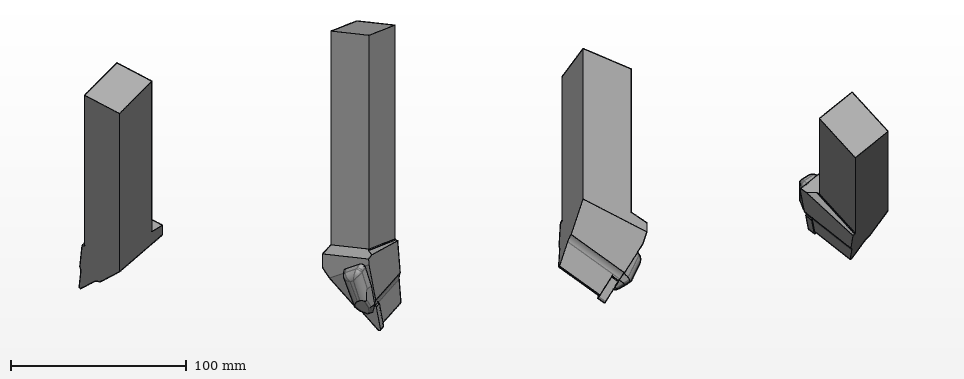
import cadquery as cq
import math


LENGTH = 171.4
SHANK_X = 24.7
SHANK_Y = 31.5

HEAD_Y = 41.8
HEAD_OVERHANG = 13.7
SHOULDER_Z = 46.8
SHOULDER_SLOPE = 18.0
SHOULDER_LIP = 0.5

TIP = (-7.9, 31.5, -1.7)
SEAT_LEAN = 22.0
SEAT_TILT = 14.5

TIP_ANGLE = 35.0
INSERT_WIDTH = 9.6
INSERT_THICKNESS = 4.8
NOSE_RADIUS = 0.9

FLANK_INSET = 0.6
BLUNT_TIP_X = 4.1
LEFT_STEP = (16.8, 19.9)
LEFT_STEP_OUT = 0.43
RIGHT_STEP = (18.0, 21.5)
RIGHT_STEP_OUT = 1.2
HEAD_REACH = 77.1
HEAD_DEPTH = 68.5

CLAMP_BACK_X = 43.2
CLAMP_BACK_LEFT = -11.0
CLAMP_BACK_RIGHT = 3.8
CLAMP_FRONT_X = 10.3
CLAMP_FRONT_LEFT = -5.1
CLAMP_FRONT_RIGHT = 7.7
CLAMP_HEIGHT = 7.5
CLAMP_DRAFT = 15.0
CLAMP_CORNER_RADIUS = 2.5
CLAMP_TOP_RADIUS = 5.1
CHEEK_BACK = (27.6, 8.0)
CHEEK_FRONT = (17.5, 4.8)
NOSE_END = (13.7, 1.4)
NOSE_TOP = 2.2
NOSE_SLOPE_START_X = 24.7
NOSE_RIM_RADIUS = 1.4

lean = math.radians(SEAT_LEAN)
tilt = math.radians(SEAT_TILT)
half_tip = math.radians(TIP_ANGLE / 2)
draft_shift = CLAMP_HEIGHT * math.tan(math.radians(CLAMP_DRAFT))

seat = cq.Plane(
    origin=TIP,
    xDir=(math.cos(tilt) * math.sin(lean), math.sin(tilt), math.cos(tilt) * math.cos(lean)),
    normal=(-math.sin(tilt) * math.sin(lean), math.cos(tilt), -math.sin(tilt) * math.cos(lean)),
)


def make_insert():
    half_length = INSERT_WIDTH / (2 * math.sin(half_tip))
    half_width = half_length * math.tan(half_tip)
    rhombus = [(0, 0), (half_length, half_width), (2 * half_length, 0), (half_length, -half_width)]
    blank = cq.Workplane(seat).polyline(rhombus).close().extrude(-INSERT_THICKNESS)
    upright_edges = blank.edges(cq.selectors.ParallelDirSelector(seat.zDir))
    tip_edge = upright_edges.edges(cq.selectors.DirectionMinMaxSelector(seat.xDir, False))
    return tip_edge.fillet(NOSE_RADIUS)


def flank_point(x, out, side):
    """Point at x on a line parallel to the insert's edge and `out` outside it; side is 1 for right."""
    return (x, side * (x * math.tan(half_tip) + out / math.cos(half_tip)))


def make_head_half(side, step, step_out):
    """The head on one side of the insert's diagonal, swept square to the seat."""
    outline = (
        cq.Workplane(seat)
        .moveTo(BLUNT_TIP_X, 0)
        .lineTo(*flank_point(BLUNT_TIP_X, -FLANK_INSET, side))
        .lineTo(*flank_point(step[0], -FLANK_INSET, side))
        .tangentArcPoint(flank_point(step[1], step_out, side), relative=False)
        .lineTo(*flank_point(HEAD_REACH, step_out, side))
        .lineTo(HEAD_REACH, 0)
        .close()
    )
    return outline.extrude(-HEAD_DEPTH)


def make_head_envelope():
    """The block that bounds the head, topped by the two mitred shoulders."""
    rise = math.tan(math.radians(SHOULDER_SLOPE))
    lip_z = SHOULDER_Z - SHOULDER_LIP
    across_y = [
        (0, 0),
        (HEAD_Y, 0),
        (HEAD_Y, SHOULDER_Z - rise * (HEAD_Y - SHANK_Y)),
        (SHANK_Y, SHOULDER_Z),
        (0, SHOULDER_Z),
    ]
    across_x = [
        (-HEAD_OVERHANG, 0),
        (SHANK_X, 0),
        (SHANK_X, SHOULDER_Z),
        (0, SHOULDER_Z),
        (-SHOULDER_LIP, lip_z),
        (-HEAD_OVERHANG, lip_z - rise * (HEAD_OVERHANG - SHOULDER_LIP)),
    ]
    y_profile = cq.Workplane("YZ", origin=(-HEAD_OVERHANG, 0, 0)).polyline(across_y).close()
    x_profile = cq.Workplane("XZ").polyline(across_x).close()
    return y_profile.extrude(HEAD_OVERHANG + SHANK_X).intersect(x_profile.extrude(-HEAD_Y))


def make_clamp_dome():
    """Drafted pad with rounded back corners and a rounded top rim."""
    base = [
        (CLAMP_FRONT_X, CLAMP_FRONT_LEFT),
        (CLAMP_FRONT_X, CLAMP_FRONT_RIGHT),
        (CLAMP_BACK_X, CLAMP_BACK_RIGHT),
        (CLAMP_BACK_X, CLAMP_BACK_LEFT),
    ]
    pad = cq.Workplane(seat).polyline(base).close().extrude(CLAMP_HEIGHT, taper=CLAMP_DRAFT)
    top = pad.faces(cq.selectors.DirectionMinMaxSelector(seat.zDir, True))
    front_edge = cq.selectors.DirectionMinMaxSelector(seat.xDir, False)
    pad = top.edges(cq.selectors.InverseSelector(front_edge)).fillet(CLAMP_TOP_RADIUS)
    back = pad.faces(cq.selectors.DirectionMinMaxSelector(seat.xDir, True))
    corners = [
        back.edges(cq.selectors.DirectionMinMaxSelector(seat.yDir, is_right)).val()
        for is_right in (True, False)
    ]
    return pad.newObject(corners).fillet(CLAMP_CORNER_RADIUS)


def make_cheek_prism():
    """Drafted outline that narrows the clamp to its nose; its cheeks run on past the clamp's back."""
    cheek_slope = (CHEEK_BACK[1] - CHEEK_FRONT[1]) / (CHEEK_BACK[0] - CHEEK_FRONT[0])
    far_x = CLAMP_BACK_X + 2 * draft_shift
    far_y = CHEEK_BACK[1] + cheek_slope * (far_x - CHEEK_BACK[0])
    left = [NOSE_END, CHEEK_FRONT, (far_x, far_y)]
    right = [(x, -y) for x, y in reversed(left)]
    return cq.Workplane(seat).polyline(left + right).close().extrude(CLAMP_HEIGHT, taper=CLAMP_DRAFT)


def make_nose_profile():
    """Side profile of the clamp, sloping down to its nose."""
    side = cq.Plane(origin=seat.origin, xDir=seat.xDir, normal=-seat.yDir)
    profile = [
        (NOSE_END[0], 0),
        (CLAMP_BACK_X, 0),
        (CLAMP_BACK_X, CLAMP_HEIGHT),
        (NOSE_SLOPE_START_X, CLAMP_HEIGHT),
        (NOSE_END[0], NOSE_TOP),
    ]
    clamp_width = CLAMP_BACK_RIGHT - CLAMP_BACK_LEFT
    return cq.Workplane(side).polyline(profile).close().extrude(clamp_width, both=True)


def make_nose_envelope():
    """Cheeks and sloping nose, with the slope's rim rounded where it meets the cheeks."""
    envelope = make_cheek_prism().intersect(make_nose_profile())
    run = NOSE_SLOPE_START_X - NOSE_END[0]
    drop = CLAMP_HEIGHT - NOSE_TOP
    slope_normal = seat.zDir * run - seat.xDir * drop
    slope = envelope.faces(cq.selectors.DirectionMinMaxSelector(slope_normal, True))
    across = cq.selectors.ParallelDirSelector(seat.yDir)
    return slope.edges(cq.selectors.InverseSelector(across)).fillet(NOSE_RIM_RADIUS)


def make_holder(pocket):
    shank = cq.Workplane("XY", origin=(0, 0, SHOULDER_Z)).box(
        SHANK_X, SHANK_Y, LENGTH - SHOULDER_Z, centered=False
    )
    left_half = make_head_half(-1, LEFT_STEP, LEFT_STEP_OUT)
    right_half = make_head_half(1, RIGHT_STEP, RIGHT_STEP_OUT)
    head = left_half.union(right_half).intersect(make_head_envelope())
    clamp = make_clamp_dome().intersect(make_nose_envelope())
    return shank.union(head).union(clamp).cut(pocket)


insert = make_insert()
holder = make_holder(insert)
result = cq.Compound.makeCompound([*holder.solids().vals(), insert.val()])